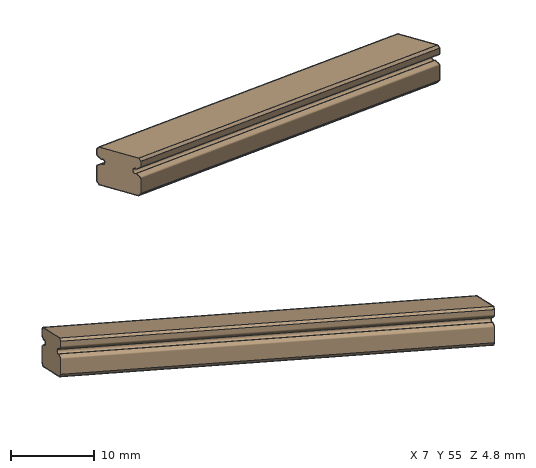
import cadquery as cq
import math

LENGTH = 55.0
WIDTH = 7.0
HEIGHT = 4.8
TOP_CHAMFER = 0.35
BOTTOM_CHAMFER = 0.4

GROOVE_DROP = 1.75
GROOVE_INSET = 0.95
GROOVE_RADIUS = 0.35
MOUTH_HALF_HEIGHT = 0.65
MOUTH_FILLET = 0.2
LIP_INSET = 0.5
LIP_HALF_HEIGHT = 0.4
THROAT_HALF_HEIGHT = 0.3

PLUG_COUNT = 4
PLUG_PITCH = 15.0
PLUG_DIAMETER = 4.2
PLUG_DEPTH = 2.3

GROOVE_AXIS_Z = HEIGHT / 2 - GROOVE_DROP
SELECTION_MARGIN = 0.05


def make_bar():
    """Chamfered bar, centred on the origin."""
    bar = cq.Workplane("XY").box(WIDTH, LENGTH, HEIGHT)
    bar = bar.faces(">Z").edges("|Y").chamfer(TOP_CHAMFER)
    return bar.faces("<Z").edges("|Y").chamfer(BOTTOM_CHAMFER)


def make_groove(side):
    """Full-length raceway cutter for the -X side (side=-1) or the +X side (side=+1)."""
    face_x = side * WIDTH / 2
    lip_x = face_x - side * LIP_INSET
    throat_offset = math.sqrt(GROOVE_RADIUS**2 - THROAT_HALF_HEIGHT**2)
    throat_x = face_x - side * (GROOVE_INSET - throat_offset)
    bottom_x = face_x - side * (GROOVE_INSET + GROOVE_RADIUS)
    throat_top = GROOVE_AXIS_Z + THROAT_HALF_HEIGHT
    throat_bottom = GROOVE_AXIS_Z - THROAT_HALF_HEIGHT
    return (
        cq.Workplane("XZ")
        .moveTo(face_x, GROOVE_AXIS_Z + MOUTH_HALF_HEIGHT)
        .lineTo(lip_x, GROOVE_AXIS_Z + LIP_HALF_HEIGHT)
        .lineTo(throat_x, throat_top)
        .threePointArc((bottom_x, GROOVE_AXIS_Z), (throat_x, throat_bottom))
        .lineTo(lip_x, GROOVE_AXIS_Z - LIP_HALF_HEIGHT)
        .lineTo(face_x, GROOVE_AXIS_Z - MOUTH_HALF_HEIGHT)
        .close()
        .extrude(LENGTH / 2, both=True)
    )


def round_mouth(body, side):
    """Round the two long edges where a raceway opens onto its side face."""
    face_x = side * WIDTH / 2
    reach_z = MOUTH_HALF_HEIGHT + SELECTION_MARGIN
    mouth_edges = cq.selectors.BoxSelector(
        (face_x - SELECTION_MARGIN, -SELECTION_MARGIN, GROOVE_AXIS_Z - reach_z),
        (face_x + SELECTION_MARGIN, SELECTION_MARGIN, GROOVE_AXIS_Z + reach_z),
    )
    return body.edges(mouth_edges).fillet(MOUTH_FILLET)


def make_plugs():
    """Row of plugs along the centreline, reaching down from the top face."""
    return (
        cq.Workplane("XY", origin=(0, 0, HEIGHT / 2))
        .rarray(0.55, PLUG_PITCH, 1, PLUG_COUNT)
        .circle(PLUG_DIAMETER / 2)
        .extrude(-PLUG_DEPTH)
    )


rail = make_bar()
for side in (-1, 1):
    rail = rail.cut(make_groove(side))
    rail = round_mouth(rail, side)

result = rail.union(make_plugs(), clean=False)